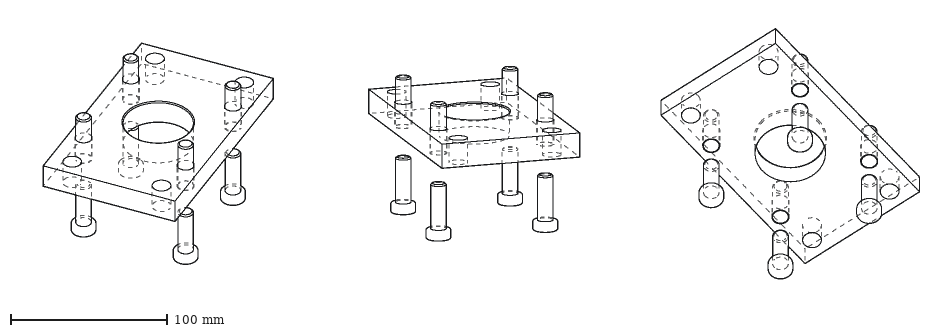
import cadquery as cq

plate_width = 93.0
plate_length = 150.0
plate_thickness = 16.0
bore_diameter = 45.0
bore_chamfer = 0.8
corner_hole_diameter = 12.0
corner_hole_x = 31.5
corner_hole_y = 63.0

fastener_offset = 36.0
shank_diameter = 10.0
tip_chamfer = 0.98
clearance_hole_diameter = 11.0

pin_protrusion = 17.0
pin_length = plate_thickness + pin_protrusion

overall_height = 89.5
shank_length = 30.0
head_diameter = 16.0
head_height = 6.6
head_fillet = 1.0
screw_bottom_z = pin_length - overall_height


def mirrored_points(x, y):
    """Four points, one in each quadrant."""
    return [(side_x * x, side_y * y) for side_x in (-1, 1) for side_y in (-1, 1)]


fastener_points = mirrored_points(fastener_offset, fastener_offset)
corner_hole_points = mirrored_points(corner_hole_x, corner_hole_y)


def make_plate():
    """Rectangular plate with a chamfered bore, corner holes and clearance holes."""
    plate = cq.Workplane("XY").box(plate_width, plate_length, plate_thickness, centered=(True, True, False))
    plate = plate.faces(">Z").workplane().hole(bore_diameter)
    plate = plate.faces(">Z").edges("%CIRCLE").chamfer(bore_chamfer)
    plate = plate.faces(">Z").workplane().pushPoints(corner_hole_points).hole(corner_hole_diameter)
    return plate.faces(">Z").workplane().pushPoints(fastener_points).hole(clearance_hole_diameter)


def make_shank(length):
    """Upright round shank standing on the XY plane, with a chamfered tip."""
    shank = cq.Workplane("XY").circle(shank_diameter / 2).extrude(length)
    return shank.faces(">Z").edges().chamfer(tip_chamfer)


def make_pin(x, y):
    """Plain pin through the plate."""
    return make_shank(pin_length).translate((x, y, 0))


def make_screw(x, y):
    """Screw with a low cylindrical head, rounded at both rims, at the bottom."""
    head = cq.Workplane("XY").circle(head_diameter / 2).extrude(head_height)
    head = head.faces("|Z").edges().fillet(head_fillet)
    shank = make_shank(shank_length).translate((0, 0, head_height))
    return head.union(shank).translate((x, y, screw_bottom_z))


plate = make_plate()
pins = [make_pin(x, y) for x, y in fastener_points]
screws = [make_screw(x, y) for x, y in fastener_points]

result = cq.Compound.makeCompound([
    plate.val(),
    *[pin.val() for pin in pins],
    *[screw.val() for screw in screws],
])